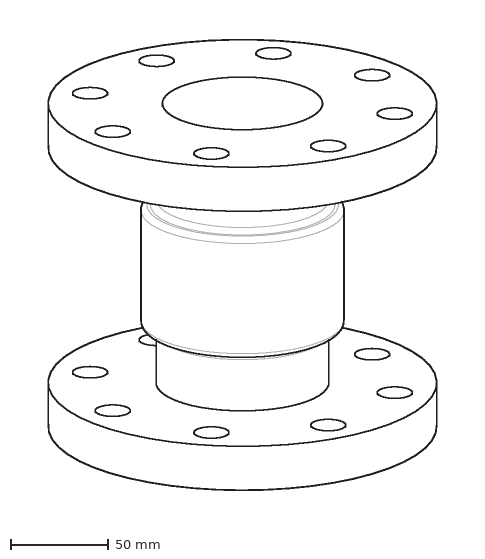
import cadquery as cq

overall_height = 176.0
bore_diameter = 82.5
neck_diameter = 89.0

flange_diameter = 200.0
flange_thickness = 24.0

bolt_hole_count = 8
bolt_hole_diameter = 18.0
bolt_circle_diameter = 160.0
first_bolt_angle = 180.0 / bolt_hole_count

sleeve_diameter = 104.5
sleeve_height = 66.0
sleeve_round = 3.0


def centred_cylinder(diameter, height):
    return cq.Workplane("XY").cylinder(height, diameter / 2)


def sleeved_neck():
    """Neck and sleeve, with rounded sleeve rims and filleted roots at the neck."""
    sleeve = centred_cylinder(sleeve_diameter, sleeve_height).edges("%CIRCLE").fillet(sleeve_round)
    body = centred_cylinder(neck_diameter, overall_height).union(sleeve)
    root_radius = neck_diameter / 2
    margin = sleeve_round / 2
    roots = cq.selectors.BoxSelector(
        (-root_radius - margin, -root_radius - margin, -sleeve_height / 2 - margin),
        (root_radius + margin, root_radius + margin, sleeve_height / 2 + margin),
        boundingbox=True,
    )
    return body.edges("%CIRCLE").edges(roots).fillet(sleeve_round)


def flange(centre_height):
    return centred_cylinder(flange_diameter, flange_thickness).translate((0, 0, centre_height))


def bolt_holes():
    return (
        cq.Workplane("XY")
        .polarArray(bolt_circle_diameter / 2, first_bolt_angle, 360, bolt_hole_count)
        .eachpoint(centred_cylinder(bolt_hole_diameter, overall_height).val(), combine=False)
    )


body = sleeved_neck()
flange_offset = (overall_height - flange_thickness) / 2
for side in (-1, 1):
    body = body.union(flange(side * flange_offset))

result = body.cut(centred_cylinder(bore_diameter, overall_height)).cut(bolt_holes())